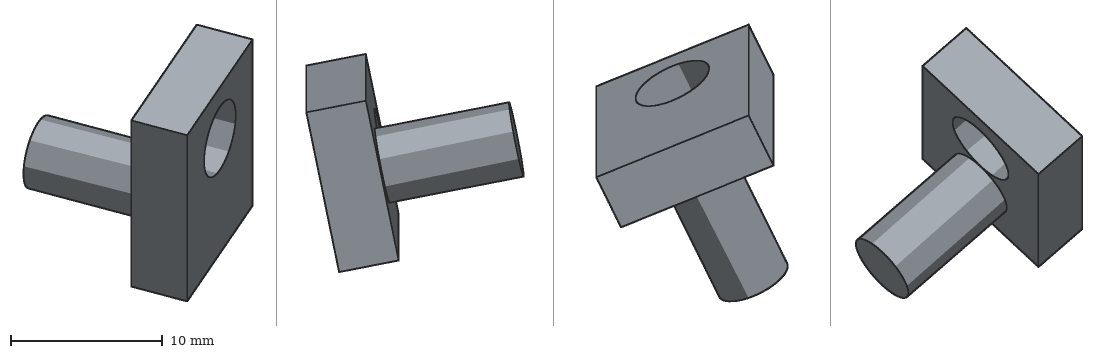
import cadquery as cq

plate_thickness = 4.0
plate_width = 11.0
plate_height = 14.0

pin_diameter = 5.0
pin_length = 9.0
pin_center_height = 4.5

hole_diameter = 5.3
hole_center_height = 9.7

plate = cq.Workplane("XY").box(
    plate_thickness, plate_width, plate_height, centered=(False, True, False)
)


def cylinder_along_x(diameter, center_height, start_x, end_x):
    """Cylinder from start_x to end_x on the mid-plane of the plate."""
    return (
        cq.Workplane("YZ", origin=(start_x, 0, center_height))
        .circle(diameter / 2)
        .extrude(end_x - start_x)
    )


pin = cylinder_along_x(pin_diameter, pin_center_height, -pin_length, plate_thickness)
hole = cylinder_along_x(hole_diameter, hole_center_height, 0, plate_thickness)

result = plate.union(pin).cut(hole)